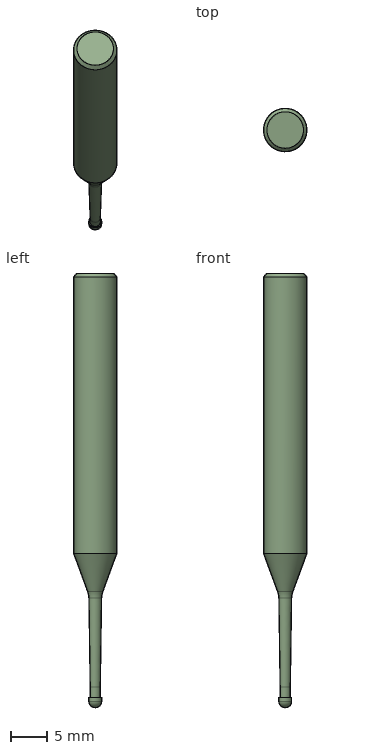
import cadquery as cq
import math

total_length = 60.0
shank_radius = 3.0
shank_chamfer = 0.5
ball_radius = 0.9
head_length = 1.45
neck_radius = 0.7
neck_top = 2.9
taper_top_radius = 0.9
cone_bottom = 15.6
cone_top = 21.3
blend_radius = 2.7


def blend_arc_points():
    """Return start, middle and end (radius, height) of the arc blending taper into cone."""
    taper_angle = math.atan2(taper_top_radius - neck_radius, cone_bottom - neck_top)
    cone_angle = math.atan2(shank_radius - taper_top_radius, cone_top - cone_bottom)
    half_turn = (cone_angle - taper_angle) / 2
    bisector = (cone_angle + taper_angle) / 2
    tangent_length = blend_radius * math.tan(half_turn)
    corner_to_arc = blend_radius * (1 / math.cos(half_turn) - 1)
    start = (
        taper_top_radius - tangent_length * math.sin(taper_angle),
        cone_bottom - tangent_length * math.cos(taper_angle),
    )
    middle = (
        taper_top_radius + corner_to_arc * math.cos(bisector),
        cone_bottom - corner_to_arc * math.sin(bisector),
    )
    end = (
        taper_top_radius + tangent_length * math.sin(cone_angle),
        cone_bottom + tangent_length * math.cos(cone_angle),
    )
    return start, middle, end


def make_cutting_head():
    """Ball end with a short cylindrical band and a flat back face."""
    ball_middle = (
        ball_radius * math.sin(math.pi / 4),
        ball_radius * (1 - math.cos(math.pi / 4)),
    )
    return (
        cq.Workplane("XZ")
        .moveTo(0, 0)
        .threePointArc(ball_middle, (ball_radius, ball_radius))
        .lineTo(ball_radius, head_length)
        .lineTo(0, head_length)
        .close()
        .revolve(360, (0, 0), (0, 1))
    )


def make_shank():
    """Straight neck, slender taper, blended cone and chamfered shank in one revolved body."""
    blend_start, blend_middle, blend_end = blend_arc_points()
    return (
        cq.Workplane("XZ")
        .moveTo(0, head_length)
        .lineTo(neck_radius, head_length)
        .lineTo(neck_radius, neck_top)
        .lineTo(*blend_start)
        .threePointArc(blend_middle, blend_end)
        .lineTo(shank_radius, cone_top)
        .lineTo(shank_radius, total_length - shank_chamfer)
        .lineTo(shank_radius - shank_chamfer, total_length)
        .lineTo(0, total_length)
        .close()
        .revolve(360, (0, 0), (0, 1))
    )


cutting_head = make_cutting_head()
shank = make_shank()

result = cq.Compound.makeCompound([cutting_head.val(), shank.val()])